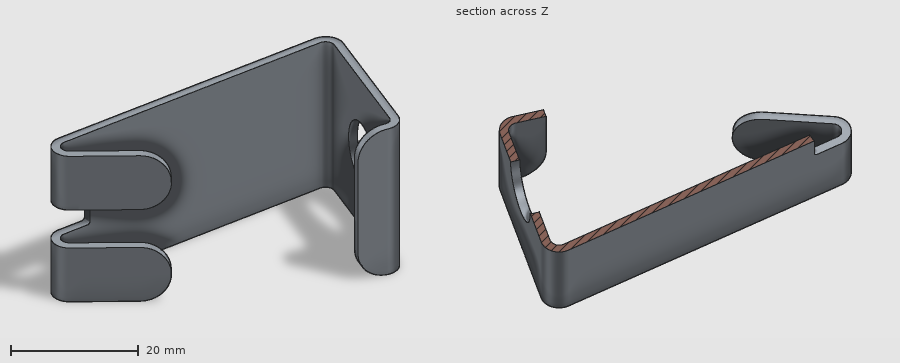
import cadquery as cq
import math

width = 28.95
depth = 54.05
height = 27.0
thickness = 1.5
outer_radius = 2.95
inner_radius = outer_radius - thickness

wall_angle = 14.0
hook_angle = 21.0

lip_depth = 8.0
lip_corner_radius = lip_depth - outer_radius
hook_length = 15.9
hole_diameter = 11.0
slot_width = 7.0
slot_setback = 4.95
slot_corner_radius = 0.5
tab_width = (height - slot_width) / 2
tab_radius = tab_width / 2

right_center = (width - outer_radius, -outer_radius)
left_center = (outer_radius, -outer_radius)
bottom_y = outer_radius - depth
wall_rise = left_center[1] - bottom_y
bottom_center = (outer_radius + wall_rise * math.tan(math.radians(wall_angle)), bottom_y)

wall_normal = 180 + wall_angle
hook_normal = 360 - hook_angle
bends = [
    (right_center, 0, 90),
    (left_center, 90, wall_normal),
    (bottom_center, wall_normal, hook_normal),
]


def polar(center, radius, angle):
    """Point at the given radius and angle from a centre."""
    a = math.radians(angle)
    return (center[0] + radius * math.cos(a), center[1] + radius * math.sin(a))


def hook_tip(radius):
    """End of the hook on the inner or outer sheet face."""
    return polar(polar(bottom_center, radius, hook_normal), hook_length, hook_normal + 90)


def bent_strip():
    """Sheet strip bent to shape, centred on Z = 0."""
    outline = cq.Workplane("XY").moveTo(width, -lip_depth)
    for center, start, end in bends:
        middle = (start + end) / 2
        outline = outline.lineTo(*polar(center, outer_radius, start))
        outline = outline.threePointArc(polar(center, outer_radius, middle), polar(center, outer_radius, end))
    outline = outline.lineTo(*hook_tip(outer_radius)).lineTo(*hook_tip(inner_radius))
    for center, start, end in reversed(bends):
        middle = (start + end) / 2
        outline = outline.lineTo(*polar(center, inner_radius, end))
        outline = outline.threePointArc(polar(center, inner_radius, middle), polar(center, inner_radius, start))
    outline = outline.lineTo(width - thickness, -lip_depth).close()
    return outline.extrude(height / 2, both=True)


def sheet_plane(center, normal_angle):
    """Plane on the outer face at a bend, with local x running towards the hook and local y along Z."""
    origin = polar(center, outer_radius, normal_angle)
    along = polar((0, 0), 1, normal_angle + 90)
    outward = polar((0, 0), 1, normal_angle)
    return cq.Plane((*origin, 0), (*along, 0), (-outward[0], -outward[1], 0))


def back_hole():
    """Round hole in the middle of the back wall."""
    hole = cq.Workplane("XZ").center(width / 2, 0).circle(hole_diameter / 2)
    return hole.extrude(thickness)


def slot_in_wall():
    """Slot end in the long wall, cut square to the sheet with small inner corners."""
    slot = (
        cq.Sketch()
        .rect(2 * slot_setback, slot_width)
        .vertices("<X")
        .fillet(slot_corner_radius)
    )
    plane = sheet_plane(bottom_center, wall_normal)
    return cq.Workplane(plane).placeSketch(slot).extrude(thickness)


def slot_in_hook():
    """Gap through the bottom bend and the hook, leaving two tabs."""
    bend_start = polar(bottom_center, outer_radius, wall_normal)
    gap = cq.Workplane("XY").polyline([
        bottom_center,
        bend_start,
        (bend_start[0], -depth),
        (width, -depth),
        hook_tip(outer_radius),
        hook_tip(0),
    ]).close()
    return gap.extrude(slot_width / 2, both=True)


def corner_waste(plane, end, z_corner, radius, x_side, z_side):
    """Waste outside one rounded corner; the sides give the direction of the free corner."""
    x_arc = end - x_side * radius
    z_arc = z_corner - z_side * radius
    diagonal = radius * math.sqrt(0.5)
    corner = cq.Workplane(plane).moveTo(end, z_corner).lineTo(end, z_arc)
    corner = corner.threePointArc((x_arc + x_side * diagonal, z_arc + z_side * diagonal), (x_arc, z_corner))
    return corner.close().extrude(thickness)


result = bent_strip().cut(back_hole()).cut(slot_in_wall()).cut(slot_in_hook())

lip_plane = sheet_plane(right_center, 0)
lip_end = outer_radius - lip_depth
for z_side in (-1, 1):
    result = result.cut(corner_waste(lip_plane, lip_end, z_side * height / 2, lip_corner_radius, -1, z_side))

hook_plane = sheet_plane(bottom_center, hook_normal)
for tab_center in (-(slot_width + tab_width) / 2, (slot_width + tab_width) / 2):
    for z_side in (-1, 1):
        z_corner = tab_center + z_side * tab_width / 2
        result = result.cut(corner_waste(hook_plane, hook_length, z_corner, tab_radius, 1, z_side))